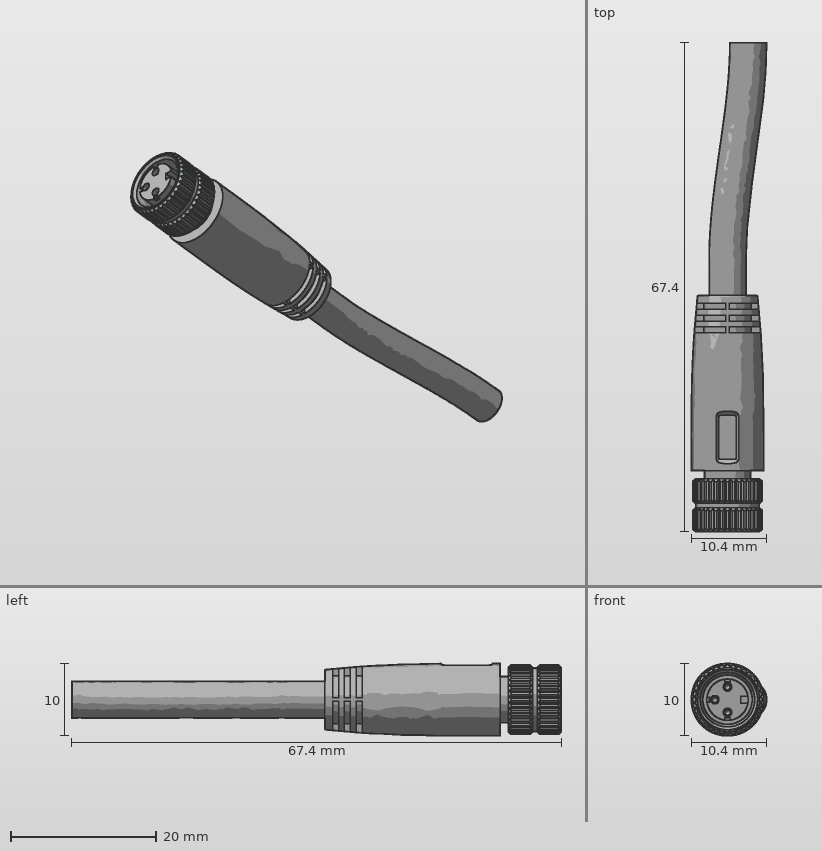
import cadquery as cq
import math


NUT_RADIUS = 4.8
NUT_REAR = 7.3
NUT_CHAMFER = 0.4
WAIST_RADIUS = 4.4
WAIST_CENTER = 3.6
WAIST_FLOOR_WIDTH = 0.6
WAIST_DEPTH = NUT_RADIUS - WAIST_RADIUS
BORE_RADIUS = 3.4
BORE_DEPTH = 3.0
THROAT_RADIUS = 3.75
THROAT_DEPTH = 1.5
MOUTH_RADIUS = 4.15
MOUTH_DEPTH = MOUTH_RADIUS - THROAT_RADIUS
KNURL_COUNT = 36
KNURL_DEPTH = 0.25
KNURL_WIDTH = 0.5

INSERT_RADIUS = 2.85
CONTACT_CIRCLE_RADIUS = 1.75
CONTACT_RADIUS = 0.57
CONTACT_DEPTH = 1.0
CONTACT_CONE_RADIUS = 0.4
CONTACT_CONE_DEPTH = 0.4
CONTACT_ANGLES = (90, 180, 270)
RIM_NOTCH_INNER_X = 2.5
RIM_NOTCH_WIDTH = 0.7
RIM_NOTCH_DEPTH = 0.5
KEYWAY_INNER_X = 1.85
KEYWAY_WIDTH = 1.0
KEYWAY_DEPTH = 2.0

NECK_RADIUS = 3.2
BODY_RADIUS = 5.0
BODY_FRONT = 8.41
BODY_LENGTH = 24.15
BODY_REAR = BODY_FRONT + BODY_LENGTH
BODY_STRAIGHT_LENGTH = 5.0
TAPER_START = BODY_FRONT + BODY_STRAIGHT_LENGTH
RELIEF_START_RADIUS = 4.6
BODY_REAR_RADIUS = 4.15
REAR_FILLET = 0.2

SLOT_COUNT = 3
SLOT_WIDTH = 0.82
SLOT_PITCH = 1.63
FIRST_SLOT_START = 27.41
SLOT_FLOOR_RADIUS = 3.3
BRIDGE_WIDTH = 0.5

LABEL_FLOOR_WIDTH = 2.4
LABEL_FLOOR_LENGTH = 6.05
LABEL_FLOOR_Z = 4.4
LABEL_CENTER_Y = 13.0
LABEL_CORNER_RADIUS = 0.2
LABEL_WALL_SLOPE = 45

CABLE_RADIUS = 2.55
CABLE_OFFSET = 2.86
CABLE_END = 67.41
CABLE_BEND_LENGTH = 30.0
CABLE_BEND_START = CABLE_END - CABLE_BEND_LENGTH


def cylinder(radius, start, end):
    """Cylinder on the Y axis from start to end."""
    section = cq.Workplane("XZ", origin=(0, start, 0)).circle(radius)
    return section.extrude(-(end - start))


def cone(start_radius, end_radius, start, end):
    """Cone, truncated unless end_radius is 0, on the Y axis from start to end."""
    solid = cq.Solid.makeCone(start_radius, end_radius, end - start, cq.Vector(0, start, 0), cq.Vector(0, 1, 0))
    return cq.Workplane("XY").newObject([solid])


def make_nut():
    chamfer_radius = NUT_RADIUS - NUT_CHAMFER
    floor_half = WAIST_FLOOR_WIDTH / 2
    rim_half = floor_half + WAIST_DEPTH
    nut = (
        cq.Workplane("XY")
        .moveTo(0, 0)
        .lineTo(chamfer_radius, 0)
        .lineTo(NUT_RADIUS, NUT_CHAMFER)
        .lineTo(NUT_RADIUS, WAIST_CENTER - rim_half)
        .lineTo(WAIST_RADIUS, WAIST_CENTER - floor_half)
        .lineTo(WAIST_RADIUS, WAIST_CENTER + floor_half)
        .lineTo(NUT_RADIUS, WAIST_CENTER + rim_half)
        .lineTo(NUT_RADIUS, NUT_REAR - NUT_CHAMFER)
        .lineTo(chamfer_radius, NUT_REAR)
        .lineTo(0, NUT_REAR)
        .close()
        .revolve(360, (0, 0, 0), (0, 1, 0))
    )
    nut = nut.cut(make_knurl_grooves())
    bore = cylinder(BORE_RADIUS, 0, BORE_DEPTH)
    mouth = cone(MOUTH_RADIUS, THROAT_RADIUS, 0, MOUTH_DEPTH)
    throat = cone(THROAT_RADIUS, BORE_RADIUS, MOUTH_DEPTH, THROAT_DEPTH)
    return nut.cut(bore).cut(mouth).cut(throat)


def make_knurl_grooves():
    """V-shaped grooves along the full length of the nut."""
    half_width = KNURL_WIDTH / 2
    outer_radius = NUT_RADIUS + KNURL_DEPTH
    groove = (
        cq.Workplane("XZ")
        .moveTo(NUT_RADIUS - KNURL_DEPTH, 0)
        .lineTo(NUT_RADIUS, -half_width)
        .lineTo(outer_radius, -half_width)
        .lineTo(outer_radius, half_width)
        .lineTo(NUT_RADIUS, half_width)
        .close()
        .extrude(-NUT_REAR)
        .val()
    )
    pitch_angle = 360 / KNURL_COUNT
    grooves = []
    for index in range(KNURL_COUNT):
        angle = (index + 0.5) * pitch_angle
        grooves.append(groove.rotate(cq.Vector(0, 0, 0), cq.Vector(0, 1, 0), angle))
    return cq.Workplane("XY").newObject([cq.Compound.makeCompound(grooves)])


def make_rim_slot(inner_x, width, depth):
    """Block that opens a slot in the mating face from inner_x out to the rim at +X."""
    block = cq.Workplane("XY").box(INSERT_RADIUS - inner_x, depth, width, centered=(False, False, True))
    return block.translate((inner_x, 0, 0))


def make_insert():
    """Socket insert with cone-bottomed contact holes, rim notches and a keyway."""
    insert = cylinder(INSERT_RADIUS, 0, NUT_REAR)
    hole = cylinder(CONTACT_RADIUS, 0, CONTACT_DEPTH)
    hole = hole.union(cone(CONTACT_CONE_RADIUS, 0, CONTACT_DEPTH, CONTACT_DEPTH + CONTACT_CONE_DEPTH))
    hole = hole.translate((CONTACT_CIRCLE_RADIUS, 0, 0))
    notch = make_rim_slot(RIM_NOTCH_INNER_X, RIM_NOTCH_WIDTH, RIM_NOTCH_DEPTH)
    for angle in CONTACT_ANGLES:
        insert = insert.cut(hole.rotate((0, 0, 0), (0, 1, 0), angle))
        insert = insert.cut(notch.rotate((0, 0, 0), (0, 1, 0), angle))
    return insert.cut(make_rim_slot(KEYWAY_INNER_X, KEYWAY_WIDTH, KEYWAY_DEPTH))


def make_body():
    """Moulded body: a cylinder that curves into a tapered strain relief."""
    relief_slope = (BODY_REAR_RADIUS - RELIEF_START_RADIUS, BODY_REAR - FIRST_SLOT_START)
    body = (
        cq.Workplane("XY")
        .moveTo(0, BODY_FRONT)
        .lineTo(BODY_RADIUS, BODY_FRONT)
        .lineTo(BODY_RADIUS, TAPER_START)
        .spline(
            [(RELIEF_START_RADIUS, FIRST_SLOT_START), (BODY_REAR_RADIUS, BODY_REAR)],
            tangents=[(0, 1), relief_slope],
            includeCurrent=True,
        )
        .lineTo(0, BODY_REAR)
        .close()
        .revolve(360, (0, 0, 0), (0, 1, 0))
        .faces(">Y")
        .edges()
        .fillet(REAR_FILLET)
    )
    return body.cut(make_relief_slots()).cut(make_label_recess())


def make_relief_slots():
    """Ring slots, each interrupted by bridges on the X and Z axes."""
    span = 2 * BODY_RADIUS
    slots = cq.Workplane("XY")
    for index in range(SLOT_COUNT):
        start = FIRST_SLOT_START + index * SLOT_PITCH
        ring = cylinder(BODY_RADIUS, start, start + SLOT_WIDTH)
        ring = ring.cut(cylinder(SLOT_FLOOR_RADIUS, start, start + SLOT_WIDTH))
        plane = cq.Workplane("XZ", origin=(0, start, 0))
        x_bridges = plane.rect(span, BRIDGE_WIDTH).extrude(-SLOT_WIDTH)
        z_bridges = plane.rect(BRIDGE_WIDTH, span).extrude(-SLOT_WIDTH)
        slots = slots.add(ring.cut(x_bridges).cut(z_bridges))
    return slots.combine()


def make_label_recess():
    """Shallow rounded rectangle with a flat floor and sloping walls."""
    floor = cq.Sketch().rect(LABEL_FLOOR_WIDTH, LABEL_FLOOR_LENGTH)
    floor = floor.vertices().fillet(LABEL_CORNER_RADIUS)
    return (
        cq.Workplane("XY", origin=(0, LABEL_CENTER_Y, LABEL_FLOOR_Z))
        .placeSketch(floor)
        .extrude(BODY_RADIUS - LABEL_FLOOR_Z, taper=-LABEL_WALL_SLOPE)
    )


def make_cable():
    """Round cable: a straight length, then an S-bend that ends parallel to Y."""
    third = CABLE_BEND_LENGTH / 3
    path = cq.Workplane("XY").bezier(
        [
            (0, CABLE_BEND_START),
            (0, CABLE_BEND_START + third),
            (CABLE_OFFSET, CABLE_END - third),
            (CABLE_OFFSET, CABLE_END),
        ]
    )
    bend = cq.Workplane("XZ", origin=(0, CABLE_BEND_START, 0)).circle(CABLE_RADIUS).sweep(path)
    return cylinder(CABLE_RADIUS, BODY_REAR, CABLE_BEND_START).union(bend)


result = make_nut()
result = result.union(make_insert())
result = result.union(cylinder(NECK_RADIUS, NUT_REAR, BODY_FRONT))
result = result.union(make_body())
result = result.union(make_cable())